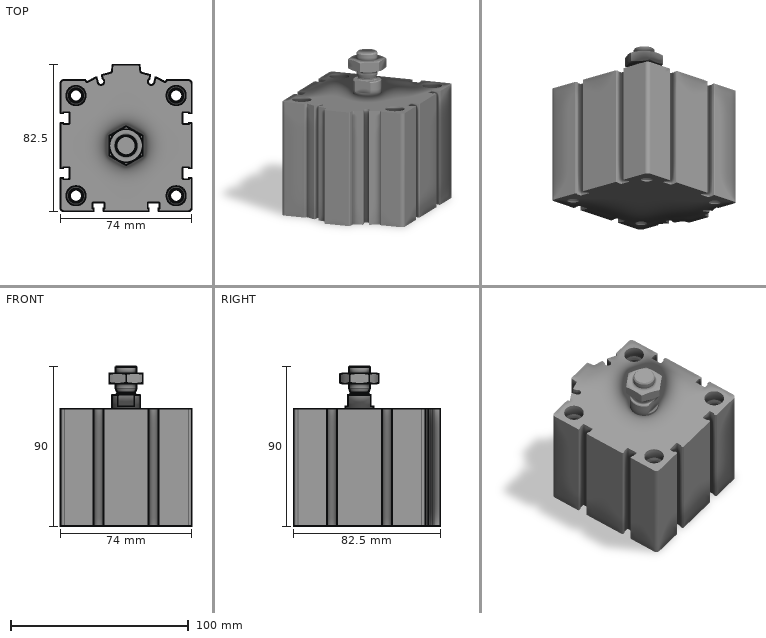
import cadquery as cq
import math

width = 74.0
half_width = width / 2
housing_height = 66.0
corner_radius = 2.2

rail_top = 45.5
crest_half_width = 7.65
crest_foot = (8.1, 41.2)
crest_radius = 0.5
foot_radius = 0.9
shoulder_slope = 15.0
land_peak = (16.7, 38.5)
land_slope = 28.0

groove_bottom_x = 22.1
groove_outer_x = 22.95

sensor_bore = 3.6
sensor_mouth_inner = 1.35
sensor_mouth_outer = 1.7
sensor_center = (14.1, 36.0)
sensor_tilt = 15.0
sensor_reach = 7.2
sensor_lip_radius = 0.4

slot_offset = 15.5
slot_mouth = 5.3
slot_lip = 1.7
slot_width = 6.6
side_slot_depth = 5.1
front_slot_depth = 4.95
slot_radius = 0.4
slot_edge_radius = 0.3

hole_offset = 28.2
hole_diameter = 6.7
countersink_diameter = 8.1
counterbore_diameter = 11.0
counterbore_depth = 6.8

rod_diameter = 16.0
overall_height = 90.0
rod_length = overall_height - housing_height
shoulder_height = 8.0
shoulder_chamfer = 0.45
wrench_flats = 13.0
wrench_flats_start = 1.4
neck_diameter = 10.2
neck_start = 8.55
neck_end = 9.3
thread_diameter = 12.0
thread_start = 11.6
thread_runout_radius = 7.2
tip_diameter = 10.6
tip_chamfer_height = 0.8

nut_across_flats = 19.0
nut_thickness = 6.0
nut_start = 14.0
nut_face_diameter = 18.7
nut_chamfer_angle = 20.0


def slope(angle):
    return math.tan(math.radians(angle))


def extrude_outline(points):
    return cq.Workplane("XY").polyline(points).close().extrude(housing_height)


def edge_at(point):
    """Selector for the upright edge through a point of the plan."""
    return cq.NearestToPointSelector((*point, housing_height / 2))


def land_meeting_x():
    """X where the sloping land comes down to the level of the +Y face."""
    return land_peak[0] + (land_peak[1] - half_width) / slope(land_slope)


def make_rail():
    """Raised rail: crest, sloping shoulders and sloping lands either side."""
    crest_corner = (crest_half_width, rail_top)
    shoulder_end_x = land_peak[0] - sensor_mouth_outer
    shoulder_end_y = crest_foot[1] - (shoulder_end_x - crest_foot[0]) * slope(shoulder_slope)
    land_end_x = land_meeting_x()
    right_side = [
        crest_corner,
        crest_foot,
        (shoulder_end_x, shoulder_end_y),
        land_peak,
        (land_end_x, half_width),
        (land_end_x, 0),
    ]
    left_side = [(-x, y) for x, y in reversed(right_side)]
    rail = extrude_outline(right_side + left_side)
    for side in (-1, 1):
        rail = rail.edges(edge_at((side * crest_corner[0], crest_corner[1]))).fillet(crest_radius)
        rail = rail.edges(edge_at((side * crest_foot[0], crest_foot[1]))).fillet(foot_radius)
    return rail


def make_v_groove():
    groove_bottom_y = land_peak[1] - (groove_bottom_x - land_peak[0]) * slope(land_slope)
    groove_inner_x = land_meeting_x()
    return extrude_outline([
        (groove_inner_x, half_width),
        (groove_bottom_x, groove_bottom_y),
        (groove_outer_x, half_width),
    ])


def make_sensor_slot():
    bore = cq.Workplane("XY").circle(sensor_bore / 2).extrude(housing_height)
    mouth = (
        cq.Workplane("XY")
        .moveTo(-sensor_mouth_inner, 0)
        .lineTo(-sensor_mouth_inner, sensor_reach)
        .lineTo(sensor_mouth_outer, sensor_reach)
        .lineTo(sensor_mouth_outer, 0)
        .close()
        .extrude(housing_height)
    )
    slot = bore.union(mouth).rotate((0, 0, 0), (0, 0, 1), -sensor_tilt)
    return slot.translate((*sensor_center, 0))


def make_t_slot(depth):
    """T-slot in the -Y face at X = 0, with the outer edges of its mouth rounded."""
    mouth = (
        cq.Workplane("XY")
        .center(0, slot_lip / 2 - half_width)
        .rect(slot_mouth, slot_lip)
        .extrude(housing_height)
    )
    pocket_depth = depth - slot_lip
    pocket = (
        cq.Workplane("XY")
        .center(0, slot_lip + pocket_depth / 2 - half_width)
        .rect(slot_width, pocket_depth)
        .extrude(housing_height)
        .edges("|Z and >Y")
        .fillet(slot_radius)
    )
    flare = (
        cq.Workplane("XY")
        .moveTo(-slot_mouth / 2 - slot_edge_radius, -half_width)
        .radiusArc((-slot_mouth / 2, slot_edge_radius - half_width), slot_edge_radius)
        .lineTo(slot_mouth / 2, slot_edge_radius - half_width)
        .radiusArc((slot_mouth / 2 + slot_edge_radius, -half_width), slot_edge_radius)
        .close()
        .extrude(housing_height)
    )
    return mouth.union(pocket).union(flare)


def make_housing():
    block = (
        cq.Workplane("XY")
        .rect(width, width)
        .extrude(housing_height)
        .edges("|Z")
        .fillet(corner_radius)
    )
    body = block.union(make_rail())

    for cutter in (make_v_groove(), make_sensor_slot()):
        body = body.cut(cutter).cut(cutter.mirror("YZ"))

    lip_rise = crest_foot[1] - sensor_center[1]
    lip_x = sensor_center[0] - sensor_mouth_inner + lip_rise * slope(sensor_tilt)
    lip_y = crest_foot[1] - (lip_x - crest_foot[0]) * slope(shoulder_slope)
    for side in (-1, 1):
        body = body.edges(edge_at((side * lip_x, lip_y))).fillet(sensor_lip_radius)

    for turn, depth in ((0, front_slot_depth), (90, side_slot_depth), (-90, side_slot_depth)):
        for offset in (-slot_offset, slot_offset):
            slot = make_t_slot(depth).translate((offset, 0, 0))
            body = body.cut(slot.rotate((0, 0, 0), (0, 0, 1), turn))

    hole_spacing = 2 * hole_offset
    body = (
        body.faces(">Z")
        .workplane(origin=(0, 0, housing_height))
        .rect(hole_spacing, hole_spacing, forConstruction=True)
        .vertices()
        .cboreHole(hole_diameter, counterbore_diameter, counterbore_depth)
    )
    countersink_depth = (countersink_diameter - hole_diameter) / 2
    countersinks = (
        cq.Workplane("XY", origin=(0, 0, housing_height - counterbore_depth))
        .rect(hole_spacing, hole_spacing, forConstruction=True)
        .vertices()
        .circle(countersink_diameter / 2)
        .extrude(-countersink_depth, taper=45)
    )
    return body.cut(countersinks)


def make_rod():
    """Turned rod standing on the housing: collar with wrench flats, neck and threaded stud."""
    rod_radius = rod_diameter / 2
    neck_radius = neck_diameter / 2
    thread_radius = thread_diameter / 2
    tip_radius = tip_diameter / 2
    neck_flare = neck_start - shoulder_height
    rod = (
        cq.Workplane("XZ")
        .lineTo(rod_radius, 0)
        .lineTo(rod_radius, shoulder_height - shoulder_chamfer)
        .lineTo(rod_radius - shoulder_chamfer, shoulder_height)
        .lineTo(neck_radius + neck_flare, shoulder_height)
        .lineTo(neck_radius, neck_start)
        .lineTo(neck_radius, neck_end)
        .radiusArc((thread_radius, thread_start), -thread_runout_radius)
        .lineTo(thread_radius, rod_length - tip_chamfer_height)
        .lineTo(tip_radius, rod_length)
        .lineTo(0, rod_length)
        .close()
        .revolve(360, (0, 0, 0), (0, 1, 0))
    )
    flat_offset = (wrench_flats + rod_diameter) / 2
    flat_cuts = (
        cq.Workplane("XY", origin=(0, 0, wrench_flats_start))
        .pushPoints([(0, -flat_offset), (0, flat_offset)])
        .rect(rod_diameter, rod_diameter)
        .extrude(shoulder_height - wrench_flats_start)
    )
    return rod.cut(flat_cuts).translate((0, 0, housing_height))


def make_nut():
    """Hexagon nut with points on the Y axis and both faces chamfered by a cone."""
    across_corners = nut_across_flats / math.cos(math.pi / 6)
    hexagon = (
        cq.Workplane("XY")
        .polygon(6, across_corners)
        .extrude(nut_thickness)
        .rotate((0, 0, 0), (0, 0, 1), 90)
    )
    face_radius = nut_face_diameter / 2
    corner_reach = across_corners / 2
    chamfer_height = (corner_reach - face_radius) * slope(nut_chamfer_angle)
    chamfer_envelope = (
        cq.Workplane("XZ")
        .lineTo(face_radius, 0)
        .lineTo(corner_reach, chamfer_height)
        .lineTo(corner_reach, nut_thickness - chamfer_height)
        .lineTo(face_radius, nut_thickness)
        .lineTo(0, nut_thickness)
        .close()
        .revolve(360, (0, 0, 0), (0, 1, 0))
    )
    nut = hexagon.intersect(chamfer_envelope).faces(">Z").workplane(origin=(0, 0, nut_thickness))
    nut = nut.hole(thread_diameter)
    return nut.translate((0, 0, housing_height + nut_start))


housing = make_housing()
rod = make_rod()
nut = make_nut()

result = cq.Compound.makeCompound([housing.val(), rod.val(), nut.val()])